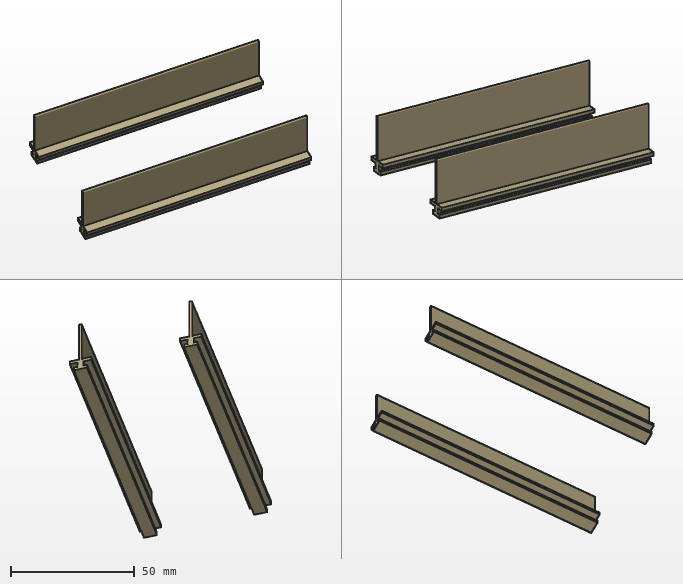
import cadquery as cq

rail_length = 100.0
overall_width = 55.5

foot_width = 5.5
foot_height = 1.6
neck_width = 2.6
neck_height = 2.4
flange_width = 9.0
flange_height = 1.6
fin_thickness = 1.25
fin_height = 20.0
fin_tip_radius = 0.5

rail_spacing = overall_width - flange_width

neck_base = foot_height
flange_base = neck_base + neck_height
fin_base = flange_base + flange_height


def bar(width, height, base):
    """Full-length rectangular bar centred on X and Y, with its underside at the given level."""
    return (
        cq.Workplane("XY")
        .workplane(offset=base)
        .box(width, rail_length, height, centered=(True, True, False))
    )


def fin():
    """Thin upright wall with its two long top edges rounded."""
    return bar(fin_thickness, fin_height, fin_base).faces(">Z").edges("|Y").fillet(fin_tip_radius)


def rail(center_x):
    """One rail: T-slot foot and neck, flange and upright fin in a single solid."""
    foot = bar(foot_width, foot_height, 0)
    neck = bar(neck_width, neck_height, neck_base)
    flange = bar(flange_width, flange_height, flange_base)
    body = foot.union(neck).union(flange).union(fin())
    return body.translate((center_x, 0, 0))


rails = [rail(side * rail_spacing / 2) for side in (-1, 1)]

result = cq.Compound.makeCompound([body.val() for body in rails])